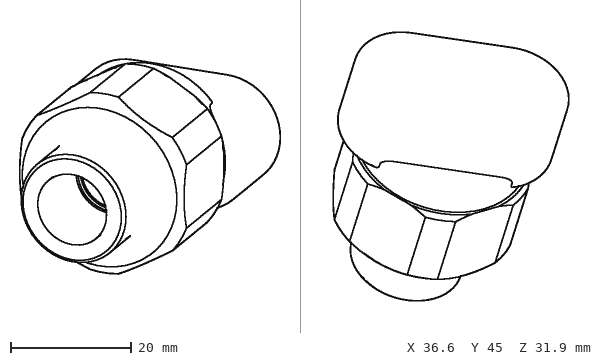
import cadquery as cq
import math

total_length = 44.95

spigot_radius = 9.55
spigot_tip_chamfer = 0.6
spigot_root_fillet = 1.55

nut_front = 11.3
nut_back = 28.45
nut_across_flats = 29.9
nut_corner_diameter = 31.95
nut_front_chamfer = 1.95
nut_back_chamfer = 0.8

collar_radius = 14.6
collar_back = 33.5
collar_fillet = 1.55

body_width = 36.6
body_height = 19.42
body_front = 30.0
body_front_fillet = 1.57
body_back_fillet = 0.9

bore_steps = [(6.25, 15.75), (5.9, 16.65), (5.58, 26.98)]
drill_point_angle = 118.0


def section_plane(y):
    """Plane across the part axis whose extrusions run toward +Y."""
    return cq.Workplane(cq.Plane(origin=(0, y, 0), xDir=(1, 0, 0), normal=(0, 1, 0)))


def cylinder(radius, start, end):
    return section_plane(start).circle(radius).extrude(end - start)


def make_nut():
    length = nut_back - nut_front
    sharp_diameter = nut_across_flats / math.cos(math.pi / 6)
    hexagon = (
        section_plane(nut_front)
        .transformed(rotate=(0, 0, 30))
        .polygon(6, sharp_diameter)
        .extrude(length)
    )
    envelope = (
        cylinder(nut_corner_diameter / 2, nut_front, nut_back)
        .faces("<Y").chamfer(nut_front_chamfer)
        .faces(">Y").chamfer(nut_back_chamfer)
    )
    return hexagon.intersect(envelope)


def make_spigot():
    """Spigot with a concave fillet flaring out to the front of the nut."""
    fillet_start = nut_front - spigot_root_fillet
    flare_radius = spigot_radius + spigot_root_fillet
    mid_offset = spigot_root_fillet * math.sqrt(0.5)
    return (
        cq.Workplane("XY")
        .lineTo(spigot_radius - spigot_tip_chamfer, 0)
        .lineTo(spigot_radius, spigot_tip_chamfer)
        .lineTo(spigot_radius, fillet_start)
        .threePointArc(
            (flare_radius - mid_offset, fillet_start + mid_offset),
            (flare_radius, nut_front),
        )
        .lineTo(0, nut_front)
        .close()
        .revolve(360, (0, 0, 0), (0, 1, 0))
    )


def make_collar():
    return cylinder(collar_radius, nut_back, collar_back).faces(">Y").edges().fillet(collar_fillet)


def make_body():
    return (
        section_plane(body_front)
        .slot2D(body_width, body_height)
        .extrude(total_length - body_front)
        .faces("<Y").edges().fillet(body_front_fillet)
        .faces(">Y").edges().fillet(body_back_fillet)
    )


def make_bore():
    profile = cq.Workplane("XY")
    step_start = 0
    for radius, depth in bore_steps:
        profile = profile.lineTo(radius, step_start).lineTo(radius, depth)
        step_start = depth
    last_radius, last_depth = bore_steps[-1]
    point_length = last_radius / math.tan(math.radians(drill_point_angle / 2))
    return (
        profile.lineTo(0, last_depth + point_length)
        .close()
        .revolve(360, (0, 0, 0), (0, 1, 0))
    )


outside = make_nut().union(make_spigot()).union(make_collar()).union(make_body())
result = outside.cut(make_bore())